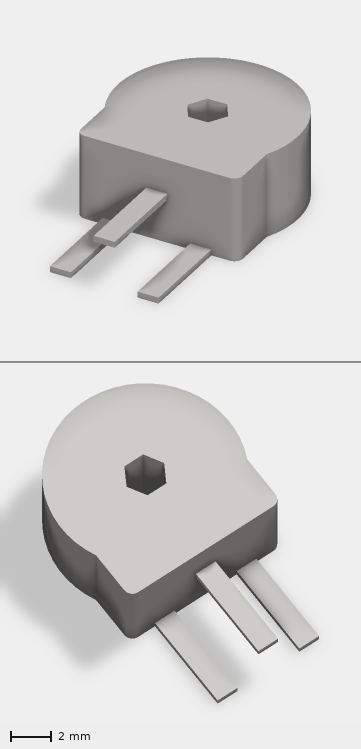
import cadquery as cq

body_radius = 5.15
body_height = 4.8
foot_width = 9.26
foot_corner_radius = 0.5
foot_face_y = -body_radius

hex_across_corners = 2.3

total_length = 15.65
pin_length = total_length - 2 * body_radius
pin_width = 1.2
pin_thickness = 0.35
pin_pitch = 2.5
middle_pin_z = 2.5


def make_body():
    round_housing = cq.Workplane("XY").circle(body_radius).extrude(body_height)
    foot = (
        cq.Workplane("XY")
        .box(foot_width, body_radius, body_height, centered=(True, False, False))
        .translate((0, foot_face_y, 0))
        .edges("|Z and <Y")
        .fillet(foot_corner_radius)
    )
    hex_hole = cq.Workplane("XY").polygon(6, hex_across_corners).extrude(body_height)
    return round_housing.union(foot).cut(hex_hole)


def make_pin(center_x, bottom_z):
    pin = cq.Workplane("XY").box(
        pin_width, pin_length, pin_thickness, centered=(True, False, False)
    )
    return pin.translate((center_x, foot_face_y - pin_length, bottom_z))


pin_positions = [(-pin_pitch, 0), (0, middle_pin_z), (pin_pitch, 0)]

result = make_body()
for center_x, bottom_z in pin_positions:
    result = result.union(make_pin(center_x, bottom_z))